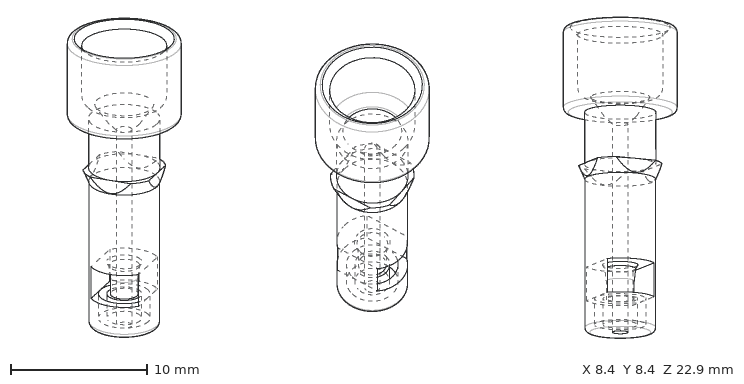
import cadquery as cq

length = 22.85
bore_radius = 0.57

head_diameter = 8.4
head_radius = head_diameter / 2
head_bottom = 16.5
edge_round = 0.37

neck_radius = 2.63
body_radius = 2.6
collar_radius = 3.09
collar_top = 12.57
collar_bottom = 11.48

cup_radius = 3.13
cup_chamfer = 0.55
cup_depth = 5.23
cup_floor_radius = 2.38
cup_corner_radius = cup_radius - cup_floor_radius
funnel_radius = 2.17
funnel_middle_radius = 1.21
funnel_depth = 1.37
funnel_tip_depth = 0.65

window_bottom = 2.51
window_top = 5.05
chamber_radius = 1.9
chamber_floor = 0.57
plug_radius = 1.28
pin_radius = 1.03
flare_radius = 1.3
flare_middle_radius = 1.15
flare_middle = 4.78
flare_bottom = 3.85


def cylinder(radius, bottom, top):
    return cq.Workplane("XY").workplane(offset=bottom).circle(radius).extrude(top - bottom)


def revolve_about_z(profile):
    return profile.close().revolve(360, (0, 0, 0), (0, 1, 0))


def make_head():
    return cylinder(head_radius, head_bottom, length).edges().fillet(edge_round)


def make_collar():
    """Conical collar trimmed by four flats tangent to the neck."""
    cone = revolve_about_z(
        cq.Workplane("XZ")
        .moveTo(0, collar_bottom)
        .lineTo(body_radius, collar_bottom)
        .lineTo(collar_radius, collar_top)
        .lineTo(0, collar_top)
    )
    flats = cq.Workplane("XY").rect(2 * neck_radius, 2 * neck_radius).extrude(length)
    return cone.intersect(flats)


def make_shank():
    body = cylinder(body_radius, 0, collar_bottom).faces("<Z").edges().fillet(edge_round)
    neck = cylinder(neck_radius, collar_top, head_bottom)
    return body.union(make_collar()).union(neck)


def make_cup_cutter():
    """Chamfered cup with a rounded floor corner and a funnel down to the bore."""
    floor = length - cup_depth
    funnel_middle = floor - funnel_depth
    funnel_bottom = funnel_middle - funnel_tip_depth
    return revolve_about_z(
        cq.Workplane("XZ")
        .moveTo(0, length)
        .lineTo(cup_radius + cup_chamfer, length)
        .lineTo(cup_radius, length - cup_chamfer)
        .lineTo(cup_radius, floor + cup_corner_radius)
        .radiusArc((cup_floor_radius, floor), cup_corner_radius)
        .lineTo(funnel_radius, floor)
        .lineTo(funnel_middle_radius, funnel_middle)
        .lineTo(bore_radius, funnel_bottom)
        .lineTo(0, funnel_bottom)
    )


def make_window_cutter():
    """Chamber and through window, leaving the flared pin on its wider plug."""
    chamber = cylinder(chamber_radius, chamber_floor, window_top)
    window = (
        cq.Workplane("XY")
        .workplane(offset=window_bottom)
        .rect(2 * chamber_radius, 3 * body_radius)
        .extrude(window_top - window_bottom)
    )
    pin = revolve_about_z(
        cq.Workplane("XZ")
        .lineTo(plug_radius, 0)
        .lineTo(plug_radius, window_bottom)
        .lineTo(pin_radius, window_bottom)
        .lineTo(pin_radius, flare_bottom)
        .lineTo(flare_middle_radius, flare_middle)
        .lineTo(flare_radius, window_top)
        .lineTo(0, window_top)
    )
    return chamber.union(window).cut(pin)


bore = cylinder(bore_radius, 0, length)
result = make_head().union(make_shank())
result = result.cut(make_cup_cutter()).cut(make_window_cutter()).cut(bore)